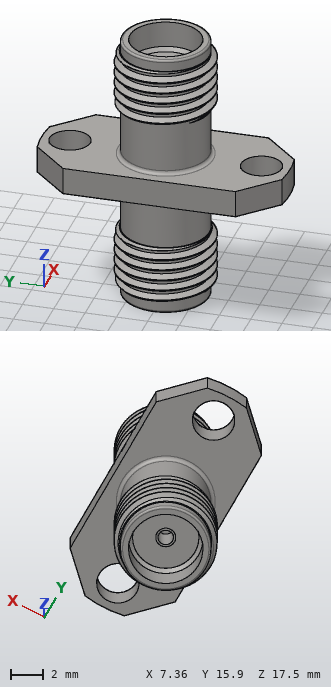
import cadquery as cq
import math

total_height = 17.53
half_height = total_height / 2

flange_width = 7.36
flange_length = 15.86
flange_thickness = 1.75
corner_cut_sum = 9.19
hole_radius = 1.3
hole_spacing = 12.24

barrel_radius = 2.79
root_fillet = 0.25
rim_fillet = 0.14

socket_radius = 2.28
socket_depth = 1.93
insulator_radius = 2.03
socket_cone_height = socket_radius - insulator_radius

contact_radius = 0.61
contact_bore_radius = 0.47
contact_bore_depth = 1.75
insulator_half_length = half_height - socket_depth

thread_radius = 3.17
thread_pitch = 0.7
thread_end_gap = 0.75
thread_length = 3.8
thread_end_radius = 2.85
crest_width = 0.07
flank_angle = 30.0
crest_drop = 1.05
thread_overlap = 0.07
helix_extra_turns = 2
thread_trim_margin = 0.18
thread_top = half_height - thread_end_gap
thread_bottom = thread_top - thread_length


def make_flange():
    """Plate with rounded ends, 45 degree corner cuts and two mounting holes."""
    half_width = flange_width / 2
    side_end = corner_cut_sum - half_width
    end_radius = flange_length / 2
    arc_x = (corner_cut_sum - math.sqrt(2 * end_radius**2 - corner_cut_sum**2)) / 2
    arc_y = corner_cut_sum - arc_x
    return (
        cq.Workplane("XY")
        .workplane(offset=-flange_thickness / 2)
        .moveTo(half_width, -side_end)
        .lineTo(half_width, side_end)
        .lineTo(arc_x, arc_y)
        .threePointArc((0, end_radius), (-arc_x, arc_y))
        .lineTo(-half_width, side_end)
        .lineTo(-half_width, -side_end)
        .lineTo(-arc_x, -arc_y)
        .threePointArc((0, -end_radius), (arc_x, -arc_y))
        .close()
        .extrude(flange_thickness)
        .faces(">Z")
        .workplane(origin=(0, 0, 0))
        .pushPoints([(0, -hole_spacing / 2), (0, hole_spacing / 2)])
        .circle(hole_radius)
        .cutThruAll()
    )


def make_barrel_half():
    """Upper half of the barrel, solid, with its root and rim fillets."""
    root_z = flange_thickness / 2
    arc_offset = 1 - math.cos(math.radians(45))
    return (
        cq.Workplane("XZ")
        .moveTo(0, 0)
        .lineTo(barrel_radius + root_fillet, 0)
        .lineTo(barrel_radius + root_fillet, root_z)
        .threePointArc(
            (barrel_radius + root_fillet * arc_offset, root_z + root_fillet * arc_offset),
            (barrel_radius, root_z + root_fillet),
        )
        .lineTo(barrel_radius, half_height - rim_fillet)
        .threePointArc(
            (barrel_radius - rim_fillet * arc_offset, half_height - rim_fillet * arc_offset),
            (barrel_radius - rim_fillet, half_height),
        )
        .lineTo(0, half_height)
        .close()
        .revolve(360, (0, 0, 0), (0, 1, 0))
    )


def make_thread():
    """Right-hand thread ridge of the upper half, bevelled at both ends."""
    inner_radius = barrel_radius - thread_overlap
    half_crest = crest_width / 2
    half_base = half_crest + (thread_radius - inner_radius) * math.tan(math.radians(flank_angle))
    turns = math.ceil(thread_length / thread_pitch) + helix_extra_turns
    start_z = half_height - crest_drop - (turns - 1) * thread_pitch
    helix = cq.Wire.makeHelix(thread_pitch, turns * thread_pitch, inner_radius)
    ridge = (
        cq.Workplane("XZ")
        .polyline(
            [
                (inner_radius, -half_base),
                (thread_radius, -half_crest),
                (thread_radius, half_crest),
                (inner_radius, half_base),
            ]
        )
        .close()
        .sweep(cq.Workplane(obj=helix), isFrenet=True)
        .translate((0, 0, start_z))
    )
    envelope_radius = thread_radius + thread_trim_margin
    bevel = envelope_radius - thread_end_radius
    envelope = (
        cq.Workplane("XZ")
        .polyline(
            [
                (0, thread_bottom),
                (thread_end_radius, thread_bottom),
                (envelope_radius, thread_bottom + bevel),
                (envelope_radius, thread_top - bevel),
                (thread_end_radius, thread_top),
                (0, thread_top),
            ]
        )
        .close()
        .revolve(360, (0, 0, 0), (0, 1, 0))
    )
    return ridge.intersect(envelope)


def make_socket():
    """Cutter for the upper half: socket, its cone and the insulator bore."""
    floor_z = half_height - socket_depth
    return (
        cq.Workplane("XZ")
        .polyline(
            [
                (0, 0),
                (insulator_radius, 0),
                (insulator_radius, floor_z),
                (socket_radius, floor_z + socket_cone_height),
                (socket_radius, half_height),
                (0, half_height),
            ]
        )
        .close()
        .revolve(360, (0, 0, 0), (0, 1, 0))
    )


def make_housing():
    """Flange with a threaded socket barrel on each side."""
    barrel_half = make_barrel_half().union(make_thread())
    socket = make_socket()
    housing = make_flange()
    for turn in (0, 180):
        housing = housing.union(barrel_half.rotate((0, 0, 0), (0, 1, 0), turn))
    for turn in (0, 180):
        housing = housing.cut(socket.rotate((0, 0, 0), (0, 1, 0), turn))
    return housing


def make_insulator():
    """Tube between the contact and the housing."""
    return (
        cq.Workplane("XY")
        .circle(insulator_radius)
        .circle(contact_radius)
        .extrude(insulator_half_length, both=True)
    )


def make_contact():
    """Center contact with a blind bore in each end."""
    contact = cq.Workplane("XY").circle(contact_radius).extrude(insulator_half_length, both=True)
    for end in (">Z", "<Z"):
        contact = contact.faces(end).workplane().circle(contact_bore_radius).cutBlind(-contact_bore_depth)
    return contact


housing = make_housing()
insulator = make_insulator()
contact = make_contact()

result = cq.Compound.makeCompound([housing.val(), insulator.val(), contact.val()])